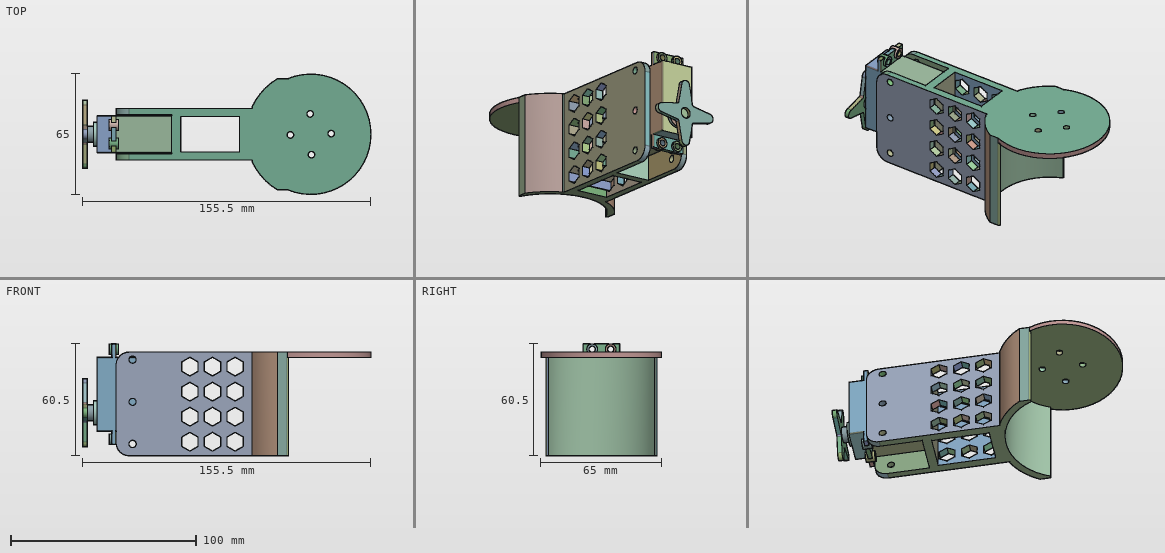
import cadquery as cq
import math


bracket_height = 56.0
arm_width = 28.0
arm_corner_radius = 7.0

bay_length = 30.0
bay_width = 21.0
partition_thickness = 5.0
window_length = 31.5
window_width = 19.0
window_start = bay_length + partition_thickness
window_end = window_start + window_length

side_hole_diameter = 3.8
side_hole_x = 8.9
side_hole_bottom_z = 6.4
side_hole_pitch = 22.7
side_hole_count = 3

hex_corner_diameter = 10.0
hex_turn = 30.0
hex_columns = 3
hex_rows = 4
hex_pitch_x = 12.2
hex_pitch_z = 13.5
hex_first_x = 39.8
hex_first_z = 7.6

axis_x = 105.0
shroud_outer_radius = 35.0
shroud_wall = 4.0
shroud_inner_radius = shroud_outer_radius - shroud_wall
shroud_half_width = 30.0
shroud_end_x = 93.1
shroud_end_fillet = 0.8
neck_half_width = 14.9
neck_front_x = axis_x - math.sqrt(shroud_outer_radius**2 - neck_half_width**2)
plate_diameter = 65.0
plate_thickness = 3.0
plate_hole_diameter = 3.4
plate_hole_circle_radius = 11.0
plate_hole_count = 4
plate_hole_turn = 1.8

servo_front_x = -10.4
servo_back_x = bay_length
servo_width = 20.0
servo_height = 40.0
servo_mid_z = 33.25
servo_edge_fillet = 0.4
ear_span = 54.4
ear_front_x = -2.4
ear_thickness = 2.4
ear_slot_width = 2.5

bushing_diameter = 5.8
bushing_bore = 3.25
bushing_length = 5.2
bushing_pitch_y = 10.0
bushing_pitch_z = 48.5

shaft_z = servo_mid_z - servo_height / 2 + servo_width / 2
boss_diameter = 13.0
boss_length = 1.8
hub_diameter = 8.7
horn_front_x = -18.0
horn_thickness = 2.5
horn_reach = 18.45
horn_tip_half_width = 2.6
horn_tip_start = 15.9
horn_root = 4.74
horn_root_fillet = 1.0
horn_recess_diameter = 6.0
horn_recess_depth = 2.0


def box(x_range, width, z_range):
    """Box centred on Y = 0."""
    length = x_range[1] - x_range[0]
    height = z_range[1] - z_range[0]
    return (
        cq.Workplane("XY")
        .box(length, width, height, centered=(False, True, False))
        .translate((x_range[0], 0, z_range[0]))
    )


def axis_cylinder(radius, height):
    """Cylinder standing on Z = 0 around the shroud axis."""
    return cq.Workplane("XY").center(axis_x, 0).circle(radius).extrude(height)


def x_cylinder(diameter, start_x, length, y, z):
    """Cylinder that runs along +X from start_x."""
    return cq.Workplane("YZ", origin=(start_x, y, z)).circle(diameter / 2).extrude(length)


def make_arm():
    """Straight arm that reaches into the shroud wall, with rounded front corners."""
    arm_end_x = axis_x - shroud_inner_radius
    arm = box((0, arm_end_x), arm_width, (0, bracket_height))
    arm = arm.faces("<X").edges("|Y").fillet(arm_corner_radius)
    arm = arm.cut(box((0, bay_length), bay_width, (0, bracket_height)))
    return arm.cut(box((window_start, window_end), window_width, (0, bracket_height)))


def make_shroud():
    """Half-round wall with flat sides, rounded rear ends and a flat front neck."""
    shroud = axis_cylinder(shroud_outer_radius, bracket_height)
    front_x = axis_x - shroud_outer_radius
    shroud = shroud.intersect(box((front_x, shroud_end_x), 2 * shroud_half_width, (0, bracket_height)))
    shroud = shroud.faces(">X").edges("|Z").fillet(shroud_end_fillet)
    shroud = shroud.cut(axis_cylinder(shroud_inner_radius, bracket_height))
    neck_gap = box((front_x, neck_front_x), 2 * neck_half_width, (0, bracket_height))
    return shroud.cut(neck_gap)


def make_plate():
    """Round top plate with its ring of screw holes."""
    plate = axis_cylinder(plate_diameter / 2, plate_thickness)
    holes = (
        cq.Workplane("XY")
        .center(axis_x, 0)
        .polarArray(plate_hole_circle_radius, plate_hole_turn, 360, plate_hole_count)
        .circle(plate_hole_diameter / 2)
        .extrude(plate_thickness)
    )
    return plate.cut(holes).translate((0, 0, bracket_height - plate_thickness))


def make_side_cutters():
    """Screw holes and hexagons that pass through both side walls."""
    side_plane = cq.Workplane("XZ", origin=(0, arm_width / 2, 0))
    hole_points = [(side_hole_x, side_hole_bottom_z + i * side_hole_pitch) for i in range(side_hole_count)]
    hex_points = [
        (hex_first_x + column * hex_pitch_x, hex_first_z + row * hex_pitch_z)
        for column in range(hex_columns)
        for row in range(hex_rows)
    ]
    cutters = side_plane.pushPoints(hole_points).circle(side_hole_diameter / 2).extrude(arm_width)
    hexagon = (
        side_plane.transformed(rotate=(0, 0, hex_turn))
        .polygon(6, hex_corner_diameter)
        .extrude(arm_width)
    )
    for x, z in hex_points:
        cutters = cutters.add(hexagon.translate((x, 0, z)))
    return cutters.combine()


def make_bracket():
    arm = make_arm().cut(make_side_cutters())
    return arm.union(make_shroud()).union(make_plate())


def make_case():
    """Servo case and mounting flange, with the edges of both side faces rounded."""
    case = box(
        (servo_front_x, servo_back_x),
        servo_width,
        (servo_mid_z - servo_height / 2, servo_mid_z + servo_height / 2),
    )
    flange = box(
        (ear_front_x, ear_front_x + ear_thickness),
        servo_width,
        (servo_mid_z - ear_span / 2, servo_mid_z + ear_span / 2),
    )
    return case.union(flange).faces("<Y or >Y").edges().fillet(servo_edge_fillet)


def add_bushings(case):
    """Put a bored bushing in an open slot of the flange at each screw position."""
    bushing_start_x = ear_front_x + ear_thickness / 2 - bushing_length / 2
    for side in (-1, 1):
        for end in (-1, 1):
            y = side * bushing_pitch_y / 2
            z = servo_mid_z + end * bushing_pitch_z / 2
            slot_range = sorted((z, servo_mid_z + end * ear_span / 2))
            slot = box((ear_front_x, ear_front_x + ear_thickness), ear_slot_width, slot_range)
            case = case.cut(slot.translate((0, y, 0)))
            case = case.union(x_cylinder(bushing_diameter, bushing_start_x, bushing_length, y, z))
            case = case.cut(x_cylinder(bushing_bore, bushing_start_x, bushing_length, y, z))
    return case


def make_horn():
    """Four tapering arms with round tips around a recessed centre."""
    horn = None
    for quarter in range(4):
        arm = (
            cq.Workplane("YZ")
            .moveTo(0, 0)
            .lineTo(horn_root, horn_root)
            .lineTo(horn_tip_half_width, horn_tip_start)
            .threePointArc((0, horn_reach), (-horn_tip_half_width, horn_tip_start))
            .lineTo(-horn_root, horn_root)
            .close()
            .extrude(horn_thickness)
            .rotate((0, 0, 0), (1, 0, 0), 90 * quarter)
        )
        horn = arm if horn is None else horn.union(arm)
    root_zone = horn_root + horn_root_fillet
    inner_corners = cq.selectors.BoxSelector(
        (0, -root_zone, -root_zone),
        (horn_thickness, root_zone, root_zone),
    )
    horn = horn.edges("|X").edges(inner_corners).fillet(horn_root_fillet)
    recess = x_cylinder(horn_recess_diameter, 0, horn_recess_depth, 0, 0)
    return horn.cut(recess).translate((horn_front_x, 0, shaft_z))


def make_servo():
    body = add_bushings(make_case())
    boss = x_cylinder(boss_diameter, servo_front_x - boss_length, boss_length, 0, shaft_z)
    hub_start_x = horn_front_x + horn_thickness
    hub = x_cylinder(hub_diameter, hub_start_x, servo_front_x - hub_start_x, 0, shaft_z)
    return body.union(boss).union(hub).union(make_horn())


bracket = make_bracket()
servo = make_servo()

result = cq.Compound.makeCompound([bracket.val(), servo.val()])